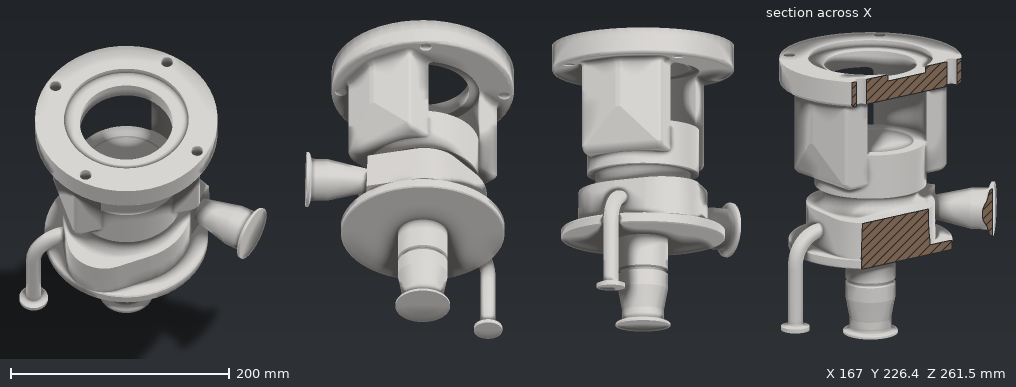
import cadquery as cq
import math

TOTAL_HEIGHT = 261.5
INLET_TIP_TOP = 14.0
INLET_CONE_TOP = 34.3
GROOVE_BOTTOM = 48.0
GROOVE_TOP = 52.5
GROOVE_FLOOR_BOTTOM = 49.5
GROOVE_FLOOR_TOP = 51.3
BASE_BOTTOM = 81.0
VOLUTE_BOTTOM = 90.5
VOLUTE_TOP = 125.0
BARREL_BOTTOM = 141.7
LEG_BOTTOM = 152.7
BARREL_TOP = 182.8
LEG_TAPER_TOP = 191.7
FLANGE_BOTTOM = 237.5

FLANGE_DIAMETER = 167.0
FLANGE_RADIUS = FLANGE_DIAMETER / 2
FLANGE_EDGE_FILLET = 3.5
RECESS_RADIUS = 57.3
RECESS_DEPTH = 6.0
FLANGE_BORE_RADIUS = 42.5
BOLT_HOLE_RADIUS = 5.5
BOLT_CIRCLE_RADIUS = 74.8
BOLT_COUNT = 4
BOLT_START_ANGLE = 45.0

LEG_HALF_WIDTH = 39.0
LEG_REACH = 69.0
LEG_RIDGE_HALF_WIDTH = 2.4
LEG_FACE_ANGLE = math.radians(15)
LEG_BORE_RADIUS = 52.0
LEG_BORE_TOP = 240.5
LEG_ROOT = 26.2
LEG_SIDE_FILLET = 4.0
LEG_TOE_FILLET = 10.0
LEG_TOP_FILLET = 4.2

SELECTION_MARGIN = 0.3

BARREL_RADIUS = 51.3
BARREL_BORE_RADIUS = 40.0
BARREL_FLOOR_RADIUS = 39.2
BARREL_FLOOR_DEPTH = 1.0
NECK_RADIUS = 43.7
NECK_FILLET = 10.5
BASE_RADIUS = 75.0
BASE_CHAMFER = 1.0

VOLUTE_RADIUS = 60.0
LOBE_RADIUS = 34.8
LOBE_OFFSET = 40.5
VOLUTE_DRAFT = 1.7
OUTLET_ANGLE = 45.0
OUTLET_OFFSET = 44.0
OUTLET_FACE = 53.5
OUTLET_HALF_WIDTH = 17.0

FERRULE_CONE_ANGLE = math.radians(20)
FERRULE_RADIUS = 25.0
FERRULE_TUBE_RADIUS = 19.0
FERRULE_RIM = 2.5
FERRULE_RIM_FILLET = 1.5
FERRULE_COVE = 1.95

INLET_DIAMETER = 45.8
INLET_RADIUS = INLET_DIAMETER / 2
GROOVE_RADIUS = 20.5
OUTLET_LENGTH = 108.5
OUTLET_CONE_START = 47.0
OUTLET_CONE_START_RADIUS = 9.7
OUTLET_CONE_END = 89.0
OUTLET_LEVEL = 108.3

DRAIN_RADIUS = 6.8
DRAIN_LEVEL = 107.5
DRAIN_BEND_RADIUS = 28.8
DRAIN_REACH = 87.9
DRAIN_BOTTOM = 18.0
DRAIN_FLANGE_RADIUS = 13.0
DRAIN_FLANGE_RIM = 3.7
DRAIN_FLANGE_COVE = 1.7


def cylinder(radius, bottom, top):
    return cq.Workplane("XY").workplane(offset=bottom).circle(radius).extrude(top - bottom)


def revolved(points):
    """Turn an outline of (radius, height) points about the Z axis."""
    return cq.Workplane("XZ").polyline(points).close().revolve(360, (0, 0, 0), (0, 1, 0))


def ferrule(tube_radius, flange_radius, rim, cove, length):
    """Clamp ferrule standing on Z = 0: a coned flange blending into a solid tube end."""
    cone_top = rim + (flange_radius - tube_radius) * math.tan(FERRULE_CONE_ANGLE)
    body = revolved([
        (0, 0),
        (flange_radius, 0),
        (flange_radius, rim),
        (tube_radius, cone_top),
        (tube_radius, length),
        (0, length),
    ])
    return body.faces("%CONE").edges(">Z").fillet(cove)


def large_ferrule(length):
    body = ferrule(FERRULE_TUBE_RADIUS, FERRULE_RADIUS, FERRULE_RIM, FERRULE_COVE, length)
    return body.faces("%CONE").edges("<Z").fillet(FERRULE_RIM_FILLET)


def on_circle(center, radius, angle):
    return (center[0] + radius * math.cos(angle), center[1] + radius * math.sin(angle))


def leg():
    """One yoke leg on the -Y side: a ridged block whose lower front slopes back."""
    slope = math.tan(LEG_FACE_ANGLE)
    corner_reach = LEG_REACH - (LEG_HALF_WIDTH - LEG_RIDGE_HALF_WIDTH) * slope
    toe_reach = LEG_REACH - (LEG_TAPER_TOP - LEG_BOTTOM) * slope
    plan = [
        (-LEG_HALF_WIDTH, -LEG_ROOT),
        (-LEG_HALF_WIDTH, -corner_reach),
        (-LEG_RIDGE_HALF_WIDTH, -LEG_REACH),
        (LEG_RIDGE_HALF_WIDTH, -LEG_REACH),
        (LEG_HALF_WIDTH, -corner_reach),
        (LEG_HALF_WIDTH, -LEG_ROOT),
    ]
    side = [
        (-LEG_ROOT, LEG_BOTTOM),
        (-toe_reach, LEG_BOTTOM),
        (-LEG_REACH, LEG_TAPER_TOP),
        (-LEG_REACH, FLANGE_BOTTOM),
        (-LEG_ROOT, FLANGE_BOTTOM),
    ]
    block = cq.Workplane("XY").workplane(offset=LEG_BOTTOM).polyline(plan).close()
    block = block.extrude(FLANGE_BOTTOM - LEG_BOTTOM)
    wedge = cq.Workplane("YZ").polyline(side).close().extrude(LEG_HALF_WIDTH, both=True)
    body = block.intersect(wedge)
    body = body.faces("<Z").edges("<Y").fillet(LEG_TOE_FILLET)
    side_rims = body.faces("<X or >X").edges("not(>Z or >Y)")
    return side_rims.fillet(LEG_SIDE_FILLET)


def yoke():
    """Motor flange with its two legs, blended together, bored and drilled."""
    flange = cylinder(FLANGE_RADIUS, FLANGE_BOTTOM, TOTAL_HEIGHT)
    flange = flange.faces("<Z").edges().fillet(FLANGE_EDGE_FILLET)
    front_leg = leg()
    legs = front_leg.union(front_leg.mirror("XZ"))
    body = flange.union(legs)
    margin = SELECTION_MARGIN
    leg_zone = cq.selectors.BoxSelector(
        (-LEG_HALF_WIDTH - margin, -LEG_REACH - margin, FLANGE_BOTTOM - margin),
        (LEG_HALF_WIDTH + margin, LEG_REACH + margin, FLANGE_BOTTOM + margin),
        boundingbox=True,
    )
    body = body.edges(leg_zone).fillet(LEG_TOP_FILLET)
    body = body.cut(cylinder(LEG_BORE_RADIUS, BARREL_TOP, LEG_BORE_TOP))
    body = body.cut(cylinder(BARREL_BORE_RADIUS, LEG_BOTTOM, BARREL_TOP))
    body = body.cut(cylinder(FLANGE_BORE_RADIUS, FLANGE_BOTTOM, TOTAL_HEIGHT))
    body = body.cut(cylinder(RECESS_RADIUS, TOTAL_HEIGHT - RECESS_DEPTH, TOTAL_HEIGHT))
    holes = cq.Workplane("XY").workplane(offset=FLANGE_BOTTOM)
    holes = holes.polarArray(BOLT_CIRCLE_RADIUS, BOLT_START_ANGLE, 360, BOLT_COUNT)
    holes = holes.circle(BOLT_HOLE_RADIUS).extrude(TOTAL_HEIGHT - FLANGE_BOTTOM)
    return body.cut(holes)


def barrel():
    """Barrel and flared neck, with a shallow cone-sided recess in the top."""
    neck_fillet_top = VOLUTE_TOP + NECK_FILLET
    fillet_middle = on_circle(
        (NECK_RADIUS + NECK_FILLET, neck_fillet_top), NECK_FILLET, math.radians(225)
    )
    profile = (
        cq.Workplane("XZ")
        .moveTo(0, VOLUTE_TOP)
        .lineTo(NECK_RADIUS + NECK_FILLET, VOLUTE_TOP)
        .threePointArc(fillet_middle, (NECK_RADIUS, neck_fillet_top))
        .lineTo(NECK_RADIUS, BARREL_BOTTOM)
        .lineTo(BARREL_RADIUS, BARREL_BOTTOM)
        .lineTo(BARREL_RADIUS, BARREL_TOP)
        .lineTo(BARREL_BORE_RADIUS, BARREL_TOP)
        .lineTo(BARREL_FLOOR_RADIUS, BARREL_TOP - BARREL_FLOOR_DEPTH)
        .lineTo(0, BARREL_TOP - BARREL_FLOOR_DEPTH)
        .close()
    )
    return profile.revolve(360, (0, 0, 0), (0, 1, 0))


def volute():
    """Round casing with two side lobes and a tangential outlet, built with the outlet along +X."""
    center = (0, 0)
    left_lobe = (0, LOBE_OFFSET)
    right_lobe = (0, -LOBE_OFFSET)
    flat_front = math.asin((VOLUTE_RADIUS - LOBE_RADIUS) / LOBE_OFFSET)
    flat_rear = math.pi - flat_front

    outlet_outer = (OUTLET_FACE, OUTLET_OFFSET + OUTLET_HALF_WIDTH)
    outlet_inner_angle = math.acos(OUTLET_FACE / VOLUTE_RADIUS)
    run = outlet_outer[0] - left_lobe[0]
    rise = outlet_outer[1] - left_lobe[1]
    outlet_normal = math.atan2(rise, run) + math.acos(LOBE_RADIUS / math.hypot(run, rise))

    def arc(sketch, middle, radius, start, end):
        half_way = on_circle(middle, radius, (start + end) / 2)
        return sketch.threePointArc(half_way, on_circle(middle, radius, end))

    outline = cq.Workplane("XY").moveTo(*outlet_outer)
    outline = outline.lineTo(*on_circle(left_lobe, LOBE_RADIUS, outlet_normal))
    outline = arc(outline, left_lobe, LOBE_RADIUS, outlet_normal, flat_rear)
    outline = outline.lineTo(*on_circle(center, VOLUTE_RADIUS, flat_rear))
    outline = arc(outline, center, VOLUTE_RADIUS, flat_rear, 2 * math.pi - flat_rear)
    outline = outline.lineTo(*on_circle(right_lobe, LOBE_RADIUS, -flat_rear))
    outline = arc(outline, right_lobe, LOBE_RADIUS, -flat_rear, -flat_front)
    outline = outline.lineTo(*on_circle(center, VOLUTE_RADIUS, -flat_front))
    outline = arc(outline, center, VOLUTE_RADIUS, -flat_front, outlet_inner_angle)
    casing = outline.close().extrude(VOLUTE_TOP - VOLUTE_BOTTOM, taper=VOLUTE_DRAFT)
    return casing.translate((0, 0, VOLUTE_BOTTOM))


def outlet():
    """Flared outlet nozzle along +X, ending in a clamp ferrule."""
    nozzle = revolved([
        (0, OUTLET_CONE_START),
        (OUTLET_CONE_START_RADIUS, OUTLET_CONE_START),
        (FERRULE_TUBE_RADIUS, OUTLET_CONE_END),
        (0, OUTLET_CONE_END),
    ])
    tip = large_ferrule(OUTLET_LENGTH - OUTLET_CONE_END)
    tip = tip.rotate((0, 0, 0), (1, 0, 0), 180).translate((0, 0, OUTLET_LENGTH))
    nozzle = nozzle.union(tip)
    nozzle = nozzle.rotate((0, 0, 0), (0, 1, 0), 90)
    return nozzle.translate((0, OUTLET_OFFSET, OUTLET_LEVEL))


def inlet():
    """Grooved inlet tube under the base plate, narrowing to a clamp ferrule."""
    tube = revolved([
        (0, INLET_TIP_TOP),
        (FERRULE_TUBE_RADIUS, INLET_TIP_TOP),
        (INLET_RADIUS, INLET_CONE_TOP),
        (INLET_RADIUS, GROOVE_BOTTOM),
        (GROOVE_RADIUS, GROOVE_FLOOR_BOTTOM),
        (GROOVE_RADIUS, GROOVE_FLOOR_TOP),
        (INLET_RADIUS, GROOVE_TOP),
        (INLET_RADIUS, BASE_BOTTOM),
        (0, BASE_BOTTOM),
    ])
    return tube.union(large_ferrule(INLET_TIP_TOP))


def drain():
    """Drain pipe leaving the casing towards -Y and bending down to a small flange."""
    bend_start = DRAIN_REACH - DRAIN_BEND_RADIUS
    bend_end_level = DRAIN_LEVEL - DRAIN_BEND_RADIUS
    bend_middle = on_circle((-bend_start, bend_end_level), DRAIN_BEND_RADIUS, math.radians(135))
    path = (
        cq.Workplane("YZ")
        .moveTo(-bend_start + DRAIN_RADIUS, DRAIN_LEVEL)
        .lineTo(-bend_start, DRAIN_LEVEL)
        .threePointArc(bend_middle, (-DRAIN_REACH, bend_end_level))
    )
    pipe_start = cq.Plane(
        origin=(0, -bend_start + DRAIN_RADIUS, DRAIN_LEVEL), xDir=(1, 0, 0), normal=(0, -1, 0)
    )
    pipe = cq.Workplane(pipe_start).circle(DRAIN_RADIUS).sweep(path)
    drop = bend_end_level - DRAIN_BOTTOM
    downpipe = ferrule(
        DRAIN_RADIUS, DRAIN_FLANGE_RADIUS, DRAIN_FLANGE_RIM, DRAIN_FLANGE_COVE, drop
    )
    return pipe.union(downpipe.translate((0, -DRAIN_REACH, DRAIN_BOTTOM)))


base = cylinder(BASE_RADIUS, BASE_BOTTOM, VOLUTE_BOTTOM).edges().chamfer(BASE_CHAMFER)
casing = volute().union(outlet()).rotate((0, 0, 0), (0, 0, 1), OUTLET_ANGLE)

result = yoke().union(barrel()).union(casing).union(base).union(inlet()).union(drain())